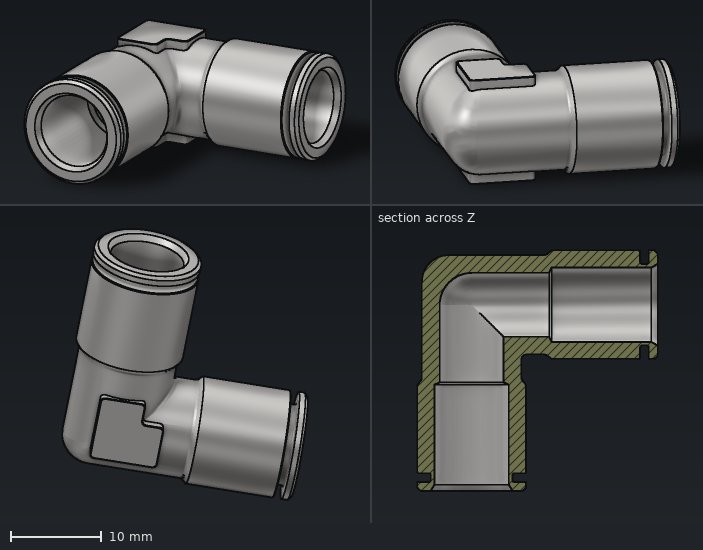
import cadquery as cq
import math


overall_length = 26.5
sleeve_radius = 12.0 / 2
leg_length = overall_length - sleeve_radius

body_radius = 11.0 / 2
outer_corner_radius = 3.0
inner_corner_radius = 0.5
rounded_half_height = 5.04

sleeve_start = 8.8
sleeve_end = 18.55
sleeve_edge_chamfer = 0.1
shoulder_fillet = 0.5
shoulder_cone_angle = math.radians(40)

neck_radius = 9.0 / 2
neck_fillet = 0.25
flange_thickness = 1.0
flange_chamfer_length = 0.35
flange_chamfer_height = 0.4
flange_start = leg_length - flange_thickness

bore_radius = 7.0 / 2
tube_socket_radius = 8.15 / 2
mouth_radius = neck_radius
mouth_chamfer_length = 0.72
tube_socket_bottom = sleeve_start
tube_stop_cone_length = 0.26

pad_half_width = 2.5
pad_reach = 4.98
pad_root_height = 3.98
pad_corner_radius = 0.5
pad_edge_chamfer = 0.08


def along_y(leg):
    """Turn a leg built along +X so that it points along -Y."""
    return leg.rotate((0, 0, 0), (0, 0, 1), -90)


def revolve_about_x(profile):
    return profile.close().revolve(360, (0, 0, 0), (1, 0, 0))


def elbow_body():
    """Two mitred cylinders with rounded mitre edges; the rounding ends beneath the pads."""
    far = 2 * body_radius
    straight_run = cq.Workplane("YZ").workplane(offset=-far).circle(body_radius).extrude(far + sleeve_start)
    mitre_wedge = (
        cq.Workplane("XY")
        .workplane(offset=-far)
        .polyline([(-far, far), (sleeve_start, far), (sleeve_start, -sleeve_start)])
        .close()
        .extrude(2 * far)
    )
    mitred_leg = straight_run.intersect(mitre_wedge)
    mitred_elbow = mitred_leg.union(mitred_leg.mirror("YZ").rotate((0, 0, 0), (0, 0, 1), 90))

    slab = cq.Workplane("XY").box(2 * far, 2 * far, 2 * rounded_half_height)
    outer_edge = cq.selectors.BoxSelector((-far, 0.26, -far), (-0.26, far, far))
    inner_edge = cq.selectors.BoxSelector((0.26, -body_radius, -far), (body_radius, -0.26, far))
    rounded_middle = (
        mitred_elbow.intersect(slab)
        .edges(outer_edge)
        .fillet(outer_corner_radius)
        .edges(inner_edge)
        .fillet(inner_corner_radius)
    )
    return mitred_elbow.cut(slab).union(rounded_middle)


def leg_end():
    """Sleeve, neck and flange of one leg, along +X."""
    fillet_rise = shoulder_fillet * (1 - math.cos(shoulder_cone_angle))
    cone_rise = sleeve_radius - body_radius - fillet_rise
    cone_start = sleeve_start - cone_rise / math.tan(shoulder_cone_angle)
    fillet_start = cone_start - shoulder_fillet * math.sin(shoulder_cone_angle)
    half_angle = shoulder_cone_angle / 2
    arc_middle = (
        fillet_start + shoulder_fillet * math.sin(half_angle),
        body_radius + shoulder_fillet * (1 - math.cos(half_angle)),
    )
    neck_fillet_top = neck_radius + neck_fillet
    neck_arc_inset = neck_fillet * (1 - math.sqrt(0.5))
    neck_arc_radius = neck_radius + neck_arc_inset
    sleeve_side_arc = (sleeve_end + neck_arc_inset, neck_arc_radius)
    flange_side_arc = (flange_start - neck_arc_inset, neck_arc_radius)
    return revolve_about_x(
        cq.Workplane("XY")
        .moveTo(fillet_start, 0)
        .lineTo(fillet_start, body_radius)
        .threePointArc(arc_middle, (cone_start, body_radius + fillet_rise))
        .lineTo(sleeve_start, sleeve_radius)
        .lineTo(sleeve_end - sleeve_edge_chamfer, sleeve_radius)
        .lineTo(sleeve_end, sleeve_radius - sleeve_edge_chamfer)
        .lineTo(sleeve_end, neck_fillet_top)
        .threePointArc(sleeve_side_arc, (sleeve_end + neck_fillet, neck_radius))
        .lineTo(flange_start - neck_fillet, neck_radius)
        .threePointArc(flange_side_arc, (flange_start, neck_fillet_top))
        .lineTo(flange_start, sleeve_radius)
        .lineTo(leg_length - flange_chamfer_length, sleeve_radius)
        .lineTo(leg_length, sleeve_radius - flange_chamfer_height)
        .lineTo(leg_length, 0)
    )


def leg_bore():
    """Bore, conical tube stop, tube socket and chamfered mouth of one leg, along +X."""
    return revolve_about_x(
        cq.Workplane("XY")
        .lineTo(0, bore_radius)
        .lineTo(tube_socket_bottom - tube_stop_cone_length, bore_radius)
        .lineTo(tube_socket_bottom, tube_socket_radius)
        .lineTo(leg_length - mouth_chamfer_length, tube_socket_radius)
        .lineTo(leg_length, mouth_radius)
        .lineTo(leg_length, 0)
    )


def upper_pad():
    return (
        cq.Workplane("XY")
        .workplane(offset=pad_root_height)
        .polyline([
            (-pad_half_width, pad_half_width),
            (pad_reach, pad_half_width),
            (pad_reach, -pad_half_width),
            (pad_half_width, -pad_half_width),
            (pad_half_width, -pad_reach),
            (-pad_half_width, -pad_reach),
        ])
        .close()
        .extrude(sleeve_radius - pad_root_height)
        .edges("|Z")
        .fillet(pad_corner_radius)
        .faces(">Z")
        .chamfer(pad_edge_chamfer)
    )


end = leg_end()
bore = leg_bore()
pad = upper_pad()

outside = elbow_body().union(end).union(along_y(end)).union(pad).union(pad.mirror("XY"))
bore_corner = cq.Workplane("XY").sphere(bore_radius)
result = outside.cut(bore).cut(along_y(bore)).cut(bore_corner)